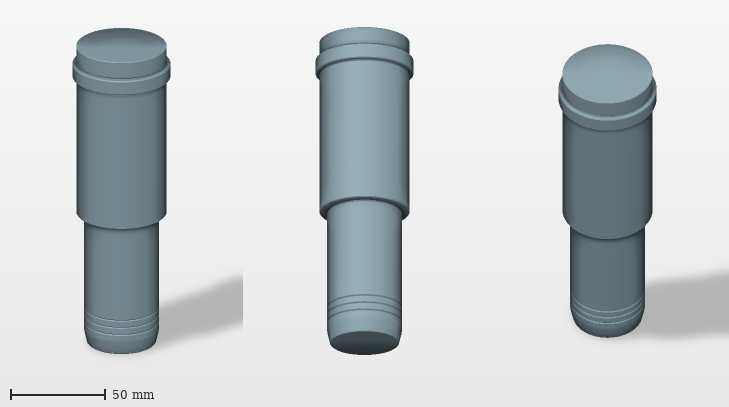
import cadquery as cq

length = 170.0
flange_diameter = 52.0
sleeve_diameter = 48.0
pin_diameter = 40.0
tip_diameter = 36.7

flange_top = length - 10.0
flange_thickness = 8.0
flange_bottom = flange_top - flange_thickness
sleeve_bottom = 74.0
tip_height = 8.0

edge_chamfer = 0.5
head_chamfer = 0.3
tip_chamfer = 0.3
tip_bulge = 0.2

vee_half_width = 0.5
vee_depth = 0.5
neck_width = 1.0
neck_depth = 0.5
ring_groove_count = 3
ring_groove_pitch = 4.0
first_ring_groove_height = 11.7


def cylinder(diameter, bottom, top):
    """Solid cylinder on the Z axis between two heights."""
    return cq.Workplane("XY").workplane(offset=bottom).circle(diameter / 2).extrude(top - bottom)


def vee_groove(diameter, height):
    """Ring of triangular section, pointing inward, to cut into a cylinder at a height."""
    radius = diameter / 2
    return (
        cq.Workplane("XZ")
        .moveTo(radius, height - vee_half_width)
        .lineTo(radius - vee_depth, height)
        .lineTo(radius, height + vee_half_width)
        .close()
        .revolve(360, (0, 0), (0, 1))
    )


def make_tip():
    """Slightly bulged lead-in at the lower end with a chamfered edge."""
    pin_radius = pin_diameter / 2
    tip_radius = tip_diameter / 2
    bulge_point = ((pin_radius + tip_radius) / 2 + tip_bulge, (tip_height + tip_chamfer) / 2)
    return (
        cq.Workplane("XZ")
        .lineTo(tip_radius - tip_chamfer, 0)
        .lineTo(tip_radius, tip_chamfer)
        .threePointArc(bulge_point, (pin_radius, tip_height))
        .lineTo(0, tip_height)
        .close()
        .revolve(360, (0, 0), (0, 1))
    )


sleeve = cylinder(sleeve_diameter, sleeve_bottom, length)
sleeve = sleeve.faces("<Z").edges().chamfer(edge_chamfer)
sleeve = sleeve.faces(">Z").edges().chamfer(head_chamfer)
for relief_height in (flange_top + vee_half_width, flange_bottom - vee_half_width):
    sleeve = sleeve.cut(vee_groove(sleeve_diameter, relief_height))

flange = cylinder(flange_diameter, flange_bottom, flange_top).edges().chamfer(edge_chamfer)

neck_bottom = sleeve_bottom - neck_width
pin = cylinder(pin_diameter, tip_height, neck_bottom)
for index in range(ring_groove_count):
    pin = pin.cut(vee_groove(pin_diameter, first_ring_groove_height + index * ring_groove_pitch))
neck = cylinder(pin_diameter - 2 * neck_depth, neck_bottom, sleeve_bottom)

result = sleeve.union(flange).union(neck).union(pin).union(make_tip())